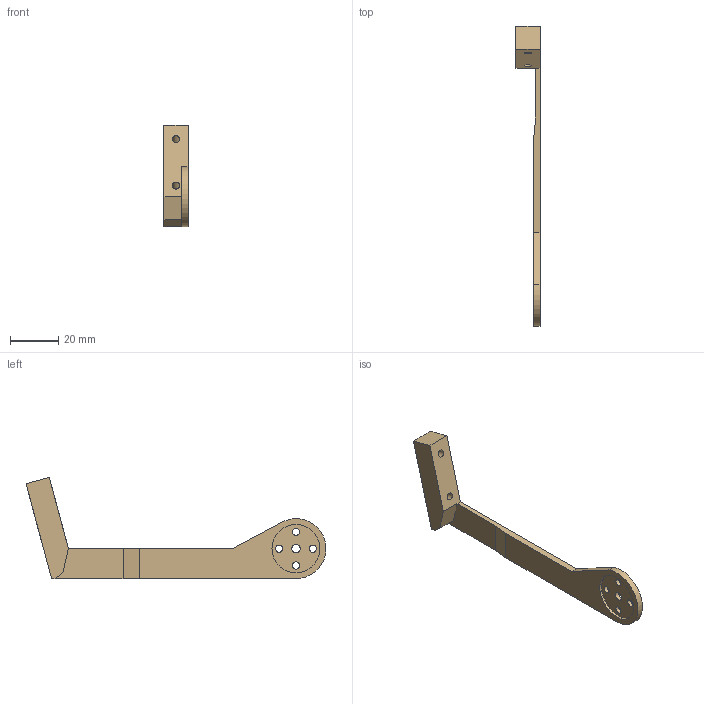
import cadquery as cq
import math


disc_radius = 12.5
pocket_radius = 10.0
pocket_depth = 1.0
center_hole_diameter = 3.5
bolt_hole_diameter = 3.0
bolt_circle_radius = 7.0
bolt_hole_count = 4

arm_bottom = -disc_radius
arm_top = 0.0
disc_thickness = 2.7
thin_thickness = 2.0
taper_start_y = 65.3
taper_end_y = 72.0
flare_start_y = 26.4
flare_end_y = 4.6
flare_end_z = math.sqrt(disc_radius**2 - flare_end_y**2)

post_width = 10.0
post_depth = 10.0
post_lean = math.radians(15)
overall_length = 124.86
overall_height = 42.19
bottom_flat = 1.5
knee_y = 96.9
knee_z = -9.6
post_hole_diameter = 3.0
post_hole_top_margin = 6.0
post_hole_spacing = 20.0
post_hole_count = 2

post_rear_y = overall_length - disc_radius
post_top_z = overall_height - disc_radius
post_front_top = (post_rear_y - post_depth * math.cos(post_lean), post_top_z)
post_rear_top = (post_rear_y, post_top_z - post_depth * math.sin(post_lean))
post_rear_bottom = (
    post_rear_top[0] - (post_rear_top[1] - arm_bottom) * math.tan(post_lean),
    arm_bottom,
)
post_front_bottom = (
    post_front_top[0] - (post_front_top[1] - arm_top) * math.tan(post_lean),
    arm_top,
)


def make_arm():
    """Flat arm with the round disc end, thinned towards the post."""
    outline = (
        cq.Workplane("YZ")
        .moveTo(0, arm_bottom)
        .lineTo(*post_rear_bottom)
        .lineTo(*post_front_bottom)
        .lineTo(flare_start_y, arm_top)
        .lineTo(flare_end_y, flare_end_z)
        .threePointArc((-disc_radius, 0), (0, arm_bottom))
        .close()
        .extrude(-disc_thickness)
    )
    thickness_profile = (
        cq.Workplane("XY")
        .workplane(offset=arm_bottom)
        .moveTo(0, -disc_radius)
        .lineTo(-disc_thickness, -disc_radius)
        .lineTo(-disc_thickness, taper_start_y)
        .lineTo(-thin_thickness, taper_end_y)
        .lineTo(-thin_thickness, post_rear_y)
        .lineTo(0, post_rear_y)
        .close()
        .extrude(2 * disc_radius)
    )
    return outline.intersect(thickness_profile)


def make_post():
    """Leaning rectangular post with a bevelled foot."""
    return (
        cq.Workplane("YZ")
        .polyline([
            post_front_top,
            post_rear_top,
            post_rear_bottom,
            (post_rear_bottom[0] - bottom_flat, arm_bottom),
            (knee_y, knee_z),
            post_front_bottom,
        ])
        .close()
        .extrude(-post_width)
    )


def disc_cuts():
    """Round pocket in the -X face with a centre hole and a ring of bolt holes."""
    face = cq.Workplane("YZ").workplane(offset=-disc_thickness)
    pocket = face.circle(pocket_radius).extrude(pocket_depth)
    center_hole = face.circle(center_hole_diameter / 2).extrude(disc_thickness)
    bolt_holes = (
        face.polarArray(bolt_circle_radius, 0, 360, bolt_hole_count)
        .circle(bolt_hole_diameter / 2)
        .extrude(disc_thickness)
    )
    return pocket.union(center_hole).union(bolt_holes)


def post_hole(distance_from_top):
    """Through hole square to the leaning front face of the post."""
    start = cq.Vector(
        -post_width / 2,
        post_front_top[0] - distance_from_top * math.sin(post_lean),
        post_front_top[1] - distance_from_top * math.cos(post_lean),
    )
    direction = cq.Vector(0, math.cos(post_lean), -math.sin(post_lean))
    return cq.Solid.makeCylinder(post_hole_diameter / 2, post_depth, start, direction)


result = make_arm().union(make_post()).cut(disc_cuts())
for hole_index in range(post_hole_count):
    result = result.cut(post_hole(post_hole_top_margin + hole_index * post_hole_spacing))